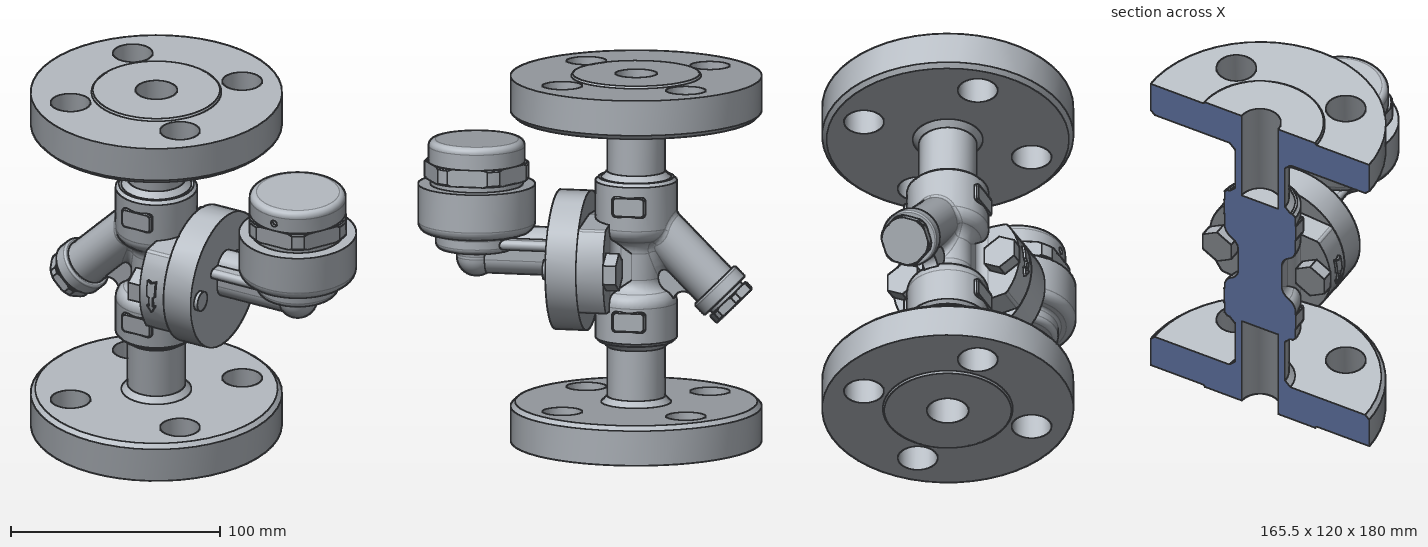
import cadquery as cq
import math

TOTAL_HEIGHT = 180.0

FLANGE_DIA = 120.0
FLANGE_THICK = 19.0
FLANGE_CHAMFER = 2.2
FACE_DIA = 62.1
FACE_STEP = 1.0
FACE_TAPER = 0.7
BORE_DIA = 20.0
BOLT_HOLE_DIA = 19.0
BOLT_CIRCLE_DIA = 85.0

PIPE_DIA = 27.7
WELD_SIZE = 2.9
BODY_DIA = 39.0
BODY_HALF_HEIGHT = 39.8
BODY_CHAMFER = 1.6
SIDE_Z = -2.0
WAIST_RADIUS = 12.0
WAIST_HALF_HEIGHT = 6.5
SHOULDER_HALF_HEIGHT = 18.9

PAD_WIDTH = 16.2
PAD_HEIGHT = 10.0
PAD_REACH = 19.8
PAD_CORNER = 2.2
PAD_CHAMFER = 0.7
PAD_LEVELS = (28.5, -27.5)

BRANCH_ANGLE = 45.0
BRANCH_START_Z = 26.5
BRANCH_DIA = 22.7
BRANCH_FILLET = 3.2
COLLAR_START = 53.8
COLLAR_END = 61.0
COLLAR_DIA = 27.0
COLLAR_INNER_FILLET = 1.0
COLLAR_OUTER_FILLET = 0.7
PLUG_NECK_DIA = 20.0
PLUG_HEX_START = 63.0
PLUG_HEX_END = 67.7
PLUG_HEX_FLATS = 22.3
PLUG_HEX_CORNERS = 24.1
PLUG_HEX_BEVEL = 0.5

WEB_THICK = 7.2
WEB_INNER_X = -9.0
WEB_OUTER_X = -25.7
WEB_OUTER_Z = -15.1
WEB_CROWN_X = -23.0
WEB_CROWN_Z = -14.8
WEB_FOOT_X = -18.9
WEB_FOOT_Z = -18.2

PLATE_START_X = 9.7
COVER_START_X = 22.9
COVER_END_X = 37.8
COVER_DIA = 67.0
PLATE_DIA = 66.6
PLATE_EDGE_HEIGHT = 20.3
PLATE_PEAK_HEIGHT = 22.5
PLATE_EDGE_FILLET = 2.2
FLARE_RADIUS = 4.5

BOLT_OFFSET_Y = 25.5
BOLT_HEAD_FLATS = 15.7
BOLT_HEAD_START_X = 3.5
BOLT_DIA = 9.5
BOLT_END_X = 39.8

ARROW_X = 16.4
ARROW_TOP_Z = 6.1
ARROW_NOTCH = 0.9
ARROW_TAIL_Z = -1.3
ARROW_HEAD_Z = -6.5
ARROW_TIP_Z = -10.0
ARROW_HALF_WIDTH = 2.2
ARROW_SHAFT_HALF_WIDTH = 0.9
ARROW_HEIGHT = 1.3

DUCT_WIDTH = 15.8
DUCT_TOP_Z = 13.3
RIB_WIDTH = 27.7
RIB_HEIGHT = 4.9
RIB_Z = 6.3

HEAD_X = 77.5
ELBOW_RADIUS = 9.5
ELBOW_TOP_Z = -0.7
SEAT_BOTTOM_Z = 2.2
SEAT_DIA = 39.0
SEAT_ROUND = 2.7
SEAT_TOP_Z = 8.8
BOWL_BOTTOM_Z = 10.3
BOWL_TOP_Z = 33.3
BOWL_DIA = 56.0
BOWL_ROUND = 4.7
HEAD_NECK_DIA = 44.3
HEAD_HEX_BOTTOM_Z = 36.0
HEAD_HEX_TOP_Z = 44.3
HEAD_HEX_CORNERS = 50.0
HEAD_HEX_BEVEL = 0.7
CAP_DIA = 46.0
CAP_TOP_Z = 55.0
CAP_ROUND = 3.2
CAP_PIT_DIA = 3.2
CAP_PIT_DEPTH = 1.8
CAP_PIT_Z = 48.0

BODY_RADIUS = BODY_DIA / 2
PIPE_RADIUS = PIPE_DIA / 2
COVER_RADIUS = COVER_DIA / 2
PLATE_RADIUS = PLATE_DIA / 2
PLATE_LENGTH = COVER_START_X - PLATE_START_X
PLATE_EDGE_Y = math.sqrt(PLATE_RADIUS**2 - PLATE_EDGE_HEIGHT**2)
FLANGE_FRONT_Z = TOTAL_HEIGHT / 2 - FACE_STEP
FLANGE_BACK_Z = FLANGE_FRONT_Z - FLANGE_THICK


def hexagon_diameter(across_flats):
    return across_flats / math.cos(math.pi / 6)


def plane_facing_x(x):
    """Plane at the given X on the cover axis: local x along +Y, local y along +Z."""
    return cq.Workplane("YZ", origin=(x, 0, SIDE_Z))


def valve_body():
    """Pipe stubs, weld cones and the two barrels joined by a curved waist."""
    shoulder_z = SHOULDER_HALF_HEIGHT
    middle_radius = (BODY_RADIUS + WAIST_RADIUS) / 2
    middle_z = (shoulder_z + WAIST_HALF_HEIGHT) / 2
    weld_radius = PIPE_RADIUS + WELD_SIZE
    body_top = BODY_HALF_HEIGHT
    return (
        cq.Workplane("XZ")
        .moveTo(0, -FLANGE_FRONT_Z)
        .lineTo(weld_radius, -FLANGE_FRONT_Z)
        .lineTo(weld_radius, -FLANGE_BACK_Z)
        .lineTo(PIPE_RADIUS, -FLANGE_BACK_Z + WELD_SIZE)
        .lineTo(PIPE_RADIUS, -body_top - WELD_SIZE)
        .lineTo(weld_radius, -body_top)
        .lineTo(BODY_RADIUS - BODY_CHAMFER, -body_top)
        .lineTo(BODY_RADIUS, -body_top + BODY_CHAMFER)
        .lineTo(BODY_RADIUS, SIDE_Z - shoulder_z)
        .tangentArcPoint((middle_radius, SIDE_Z - middle_z), relative=False)
        .tangentArcPoint((WAIST_RADIUS, SIDE_Z - WAIST_HALF_HEIGHT), relative=False)
        .lineTo(WAIST_RADIUS, SIDE_Z + WAIST_HALF_HEIGHT)
        .tangentArcPoint((middle_radius, SIDE_Z + middle_z), relative=False)
        .tangentArcPoint((BODY_RADIUS, SIDE_Z + shoulder_z), relative=False)
        .lineTo(BODY_RADIUS, body_top - BODY_CHAMFER)
        .lineTo(BODY_RADIUS - BODY_CHAMFER, body_top)
        .lineTo(weld_radius, body_top)
        .lineTo(PIPE_RADIUS, body_top + WELD_SIZE)
        .lineTo(PIPE_RADIUS, FLANGE_BACK_Z - WELD_SIZE)
        .lineTo(weld_radius, FLANGE_BACK_Z)
        .lineTo(weld_radius, FLANGE_FRONT_Z)
        .lineTo(0, FLANGE_FRONT_Z)
        .close()
        .revolve(360, (0, 0, 0), (0, 1, 0))
    )


def top_flange():
    flange = (
        cq.Workplane("XY", origin=(0, 0, FLANGE_BACK_Z))
        .circle(FLANGE_DIA / 2)
        .extrude(FLANGE_THICK)
        .faces("<Z")
        .chamfer(FLANGE_CHAMFER)
    )
    raised_face = (
        cq.Workplane("XY", origin=(0, 0, FLANGE_FRONT_Z))
        .circle(FACE_DIA / 2)
        .workplane(offset=FACE_STEP)
        .circle(FACE_DIA / 2 - FACE_TAPER)
        .loft()
    )
    bolt_holes = (
        cq.Workplane("XY", origin=(0, 0, FLANGE_BACK_Z))
        .polarArray(BOLT_CIRCLE_DIA / 2, 45, 360, 4)
        .circle(BOLT_HOLE_DIA / 2)
        .extrude(FLANGE_THICK)
    )
    return flange.union(raised_face).cut(bolt_holes)


def top_bore():
    """Blind port from the flange face to the end of the pipe stub."""
    depth = TOTAL_HEIGHT / 2 - BODY_HALF_HEIGHT
    return cq.Workplane("XY", origin=(0, 0, BODY_HALF_HEIGHT)).circle(BORE_DIA / 2).extrude(depth)


def marking_pad(level):
    """Bar with bevelled ends standing out of the front and back of the body."""
    return (
        cq.Workplane("XZ", origin=(0, 0, level))
        .rect(PAD_WIDTH, PAD_HEIGHT)
        .extrude(PAD_REACH, both=True)
        .edges("|Y")
        .fillet(PAD_CORNER)
        .faces("<Y or >Y")
        .chamfer(PAD_CHAMFER)
    )


def branch_plane(distance):
    """Plane across the branch axis, which descends towards -X; local x lies in the XZ plane."""
    slope = math.radians(BRANCH_ANGLE)
    direction = cq.Vector(-math.cos(slope), 0, -math.sin(slope))
    origin = cq.Vector(0, 0, BRANCH_START_Z) + direction * distance
    return cq.Plane(origin=origin, xDir=(-math.sin(slope), 0, math.cos(slope)), normal=direction)


def branch_cylinder(start, end, diameter):
    return cq.Workplane(branch_plane(start)).circle(diameter / 2).extrude(end - start)


def branch_web():
    """Upright web between the branch, the waist and the lower shoulder."""
    return (
        cq.Workplane("XZ")
        .moveTo(WEB_INNER_X, BRANCH_START_Z + WEB_INNER_X)
        .lineTo(WEB_OUTER_X, BRANCH_START_Z + WEB_OUTER_X)
        .lineTo(WEB_OUTER_X, WEB_OUTER_Z)
        .threePointArc((WEB_CROWN_X, WEB_CROWN_Z), (WEB_FOOT_X, WEB_FOOT_Z))
        .lineTo(WEB_INNER_X, WEB_FOOT_Z)
        .close()
        .extrude(WEB_THICK / 2, both=True)
    )


def branch_plug():
    """Collar, neck and hexagon with turned-off corners; two flats face +Y and -Y."""
    collar = branch_cylinder(COLLAR_START, COLLAR_END, COLLAR_DIA)
    collar = collar.edges("%CIRCLE").edges("<X").fillet(COLLAR_OUTER_FILLET)
    collar = collar.edges("%CIRCLE").edges(">X").fillet(COLLAR_INNER_FILLET)
    neck = branch_cylinder(COLLAR_START, PLUG_HEX_END, PLUG_NECK_DIA)
    blank = branch_cylinder(PLUG_HEX_START, PLUG_HEX_END, PLUG_HEX_CORNERS).edges().chamfer(PLUG_HEX_BEVEL)
    hexagon = (
        cq.Workplane(branch_plane(PLUG_HEX_START))
        .polygon(6, hexagon_diameter(PLUG_HEX_FLATS))
        .extrude(PLUG_HEX_END - PLUG_HEX_START)
    )
    return collar.union(neck).union(blank.intersect(hexagon))


def waist_block():
    """Straight neck from the waist to the plate, flaring where it meets the plate."""
    flare_start = PLATE_START_X - FLARE_RADIUS
    flare_y = WAIST_RADIUS + FLARE_RADIUS
    return (
        cq.Workplane("XY", origin=(0, 0, SIDE_Z))
        .moveTo(0, -WAIST_RADIUS)
        .lineTo(flare_start, -WAIST_RADIUS)
        .tangentArcPoint((PLATE_START_X, -flare_y), relative=False)
        .lineTo(PLATE_START_X, flare_y)
        .radiusArc((flare_start, WAIST_RADIUS), FLARE_RADIUS)
        .lineTo(0, WAIST_RADIUS)
        .close()
        .extrude(SHOULDER_HALF_HEIGHT, both=True)
    )


def side_plate():
    """Round plate trimmed above and below by shallow roof-shaped faces."""
    return (
        plane_facing_x(PLATE_START_X)
        .moveTo(-PLATE_EDGE_Y, -PLATE_EDGE_HEIGHT)
        .lineTo(0, -PLATE_PEAK_HEIGHT)
        .lineTo(PLATE_EDGE_Y, -PLATE_EDGE_HEIGHT)
        .threePointArc((PLATE_RADIUS, 0), (PLATE_EDGE_Y, PLATE_EDGE_HEIGHT))
        .lineTo(0, PLATE_PEAK_HEIGHT)
        .lineTo(-PLATE_EDGE_Y, PLATE_EDGE_HEIGHT)
        .threePointArc((-PLATE_RADIUS, 0), (-PLATE_EDGE_Y, -PLATE_EDGE_HEIGHT))
        .close()
        .extrude(PLATE_LENGTH)
        .edges("|X")
        .edges("<Y or >Y")
        .fillet(PLATE_EDGE_FILLET)
    )


def cover_disc():
    return plane_facing_x(COVER_START_X).circle(COVER_RADIUS).extrude(COVER_END_X - COVER_START_X)


def cover_bolts():
    spacing = 2 * BOLT_OFFSET_Y
    shanks = (
        plane_facing_x(PLATE_START_X)
        .rarray(spacing, 1.8, 2, 1)
        .circle(BOLT_DIA / 2)
        .extrude(BOLT_END_X - PLATE_START_X)
    )
    heads = (
        plane_facing_x(BOLT_HEAD_START_X)
        .transformed(rotate=(0, 0, 90))
        .rarray(1.8, spacing, 1, 2)
        .polygon(6, hexagon_diameter(BOLT_HEAD_FLATS))
        .extrude(PLATE_START_X - BOLT_HEAD_START_X)
    )
    return shanks.union(heads)


def flow_arrow():
    """Downward arrow on the -Y rim of the plate, following the rim curve."""
    half_outline = [
        (ARROW_HALF_WIDTH, ARROW_TOP_Z),
        (ARROW_HALF_WIDTH, ARROW_TAIL_Z),
        (ARROW_SHAFT_HALF_WIDTH, ARROW_TAIL_Z - ARROW_SHAFT_HALF_WIDTH),
        (ARROW_SHAFT_HALF_WIDTH, ARROW_HEAD_Z),
        (ARROW_HALF_WIDTH, ARROW_HEAD_Z),
    ]
    mirrored = [(-x, z) for x, z in reversed(half_outline)]
    outline = [(0, ARROW_TOP_Z - ARROW_NOTCH)] + half_outline + [(0, ARROW_TIP_Z)] + mirrored
    prism = (
        cq.Workplane("XZ", origin=(ARROW_X, -PLATE_EDGE_Y, 0))
        .polyline(outline)
        .close()
        .extrude(PLATE_RADIUS)
    )
    rim = plane_facing_x(PLATE_START_X).circle(PLATE_RADIUS + ARROW_HEIGHT).extrude(PLATE_LENGTH)
    return prism.intersect(rim)


def duct():
    """Upright oval duct with a flat oval rib, running from the cover to the head axis."""
    length = HEAD_X - COVER_END_X
    duct_bottom = SIDE_Z - DUCT_WIDTH / 2
    duct_height = DUCT_TOP_Z - duct_bottom
    duct_mid = (DUCT_TOP_Z + duct_bottom) / 2
    upright = (
        cq.Workplane("YZ", origin=(COVER_END_X, 0, duct_mid))
        .slot2D(duct_height, DUCT_WIDTH, 90)
        .extrude(length)
    )
    rib = (
        cq.Workplane("YZ", origin=(COVER_END_X, 0, RIB_Z))
        .slot2D(RIB_WIDTH, RIB_HEIGHT)
        .extrude(length)
    )
    return upright.union(rib)


def trap_head():
    """Elbow, seat, bowl, hexagon nut and cap turned about the vertical head axis."""
    quarter = math.sqrt(0.5)
    seat_radius = SEAT_DIA / 2
    bowl_radius = BOWL_DIA / 2
    cap_radius = CAP_DIA / 2
    neck_radius = HEAD_NECK_DIA / 2
    elbow_round = SEAT_BOTTOM_Z - ELBOW_TOP_Z
    seat_flare = BOWL_BOTTOM_Z - SEAT_TOP_Z
    turned = (
        cq.Workplane("XZ", origin=(HEAD_X, 0, 0))
        .moveTo(0, SIDE_Z - ELBOW_RADIUS)
        .threePointArc(
            (ELBOW_RADIUS * quarter, SIDE_Z - ELBOW_RADIUS * quarter),
            (ELBOW_RADIUS, SIDE_Z),
        )
        .lineTo(ELBOW_RADIUS, ELBOW_TOP_Z)
        .tangentArcPoint((ELBOW_RADIUS + elbow_round, SEAT_BOTTOM_Z), relative=False)
        .lineTo(seat_radius - SEAT_ROUND, SEAT_BOTTOM_Z)
        .tangentArcPoint((seat_radius, SEAT_BOTTOM_Z + SEAT_ROUND), relative=False)
        .lineTo(seat_radius, SEAT_TOP_Z)
        .tangentArcPoint((seat_radius + seat_flare, BOWL_BOTTOM_Z), relative=False)
        .lineTo(bowl_radius - BOWL_ROUND, BOWL_BOTTOM_Z)
        .tangentArcPoint((bowl_radius, BOWL_BOTTOM_Z + BOWL_ROUND), relative=False)
        .lineTo(bowl_radius, BOWL_TOP_Z)
        .lineTo(neck_radius, BOWL_TOP_Z)
        .lineTo(neck_radius, HEAD_HEX_BOTTOM_Z)
        .lineTo(cap_radius, HEAD_HEX_BOTTOM_Z)
        .lineTo(cap_radius, CAP_TOP_Z - CAP_ROUND)
        .tangentArcPoint((cap_radius - CAP_ROUND, CAP_TOP_Z), relative=False)
        .lineTo(0, CAP_TOP_Z)
        .close()
        .revolve(360, (0, 0, 0), (0, 1, 0))
    )
    hex_base = cq.Workplane("XY", origin=(HEAD_X, 0, HEAD_HEX_BOTTOM_Z))
    hex_height = HEAD_HEX_TOP_Z - HEAD_HEX_BOTTOM_Z
    nut_blank = hex_base.circle(HEAD_HEX_CORNERS / 2).extrude(hex_height).edges().chamfer(HEAD_HEX_BEVEL)
    nut = nut_blank.intersect(hex_base.polygon(6, hexagon_diameter(CAP_DIA)).extrude(hex_height))
    pit = (
        cq.Workplane("XZ", origin=(HEAD_X, -cap_radius + CAP_PIT_DEPTH, CAP_PIT_Z))
        .circle(CAP_PIT_DIA / 2)
        .extrude(CAP_PIT_DEPTH * 2)
    )
    return turned.union(nut).cut(pit)


casting = valve_body().union(branch_cylinder(0, COLLAR_END, BRANCH_DIA))
seam_zone = cq.selectors.BoxSelector(
    (-BODY_DIA, -PIPE_RADIUS, SIDE_Z - BODY_RADIUS),
    (-BRANCH_FILLET, PIPE_RADIUS, BODY_HALF_HEIGHT - WELD_SIZE),
)
casting = casting.edges(seam_zone).fillet(BRANCH_FILLET)
casting = casting.union(branch_web())

result = casting.union(top_flange()).union(top_flange().mirror("XY"))
for pad_level in PAD_LEVELS:
    result = result.union(marking_pad(pad_level))
for addition in (
    branch_plug(),
    waist_block(),
    side_plate(),
    cover_disc(),
    cover_bolts(),
    flow_arrow(),
    duct(),
    trap_head(),
):
    result = result.union(addition)
result = result.cut(top_bore()).cut(top_bore().mirror("XY"))